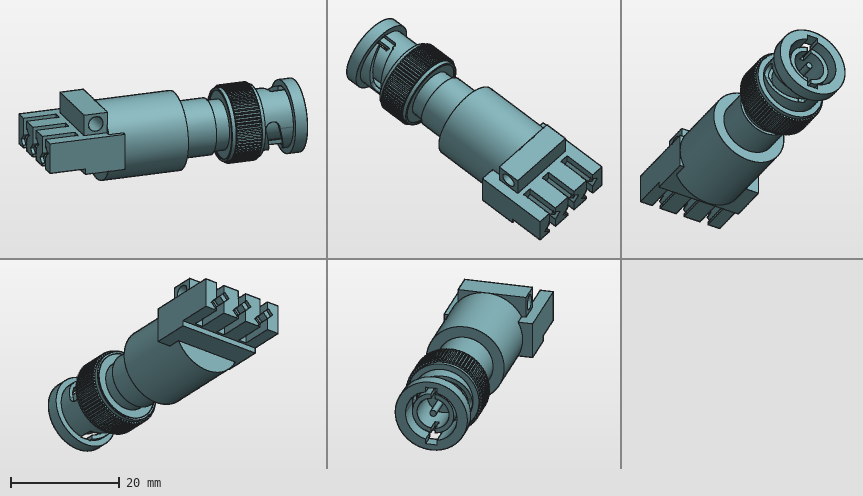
import cadquery as cq
import math

LENGTH = 50.85

BARREL_R = 7.5
COLLAR_R = 5.35
NECK_R = 4.8
BARREL_FRONT = 11.85
BARREL_BACK = 27.2
COLLAR_BACK = 33.5

TERMINAL_PITCH = 5.1
TERMINAL_COUNT = 3
BLOCK_WIDTH = 16.9
BLOCK_X = BARREL_R - BLOCK_WIDTH / 2
BLOCK_LEFT_BACK = 14.45
BLOCK_RIGHT_BACK = 14.75
BLOCK_HALF_HEIGHT = 3.45
STEP_Y = 6.9
STEP_HEIGHT = 1.05

BAR_WIDTH = 13.0
BAR_FRONT = 7.35
BAR_BACK = 12.0
BAR_HOLE_R = 1.4

WIRE_SLOT_WIDTH = 1.7
WIRE_SLOT_DEPTH = 6.4

CONTACT_WIDTH = 4.4
CONTACT_THICKNESS = 1.35
CONTACT_TILT = 45.0
CONTACT_FRONT = 0.6
MOUTH_HALF_WIDTH = 1.15
THROAT_HALF_WIDTH = 1.0
THROAT_END = 2.15
SLIT_HALF_WIDTH = 0.075
SLIT_END = 4.6

NUT_BACK = 36.05
KNURL_START = 36.8
KNURL_END = 41.8
NUT_FRONT = 42.55
FLANGE_START = 48.45
FLANGE_R = 6.9
NUT_RIM_R = 6.85
KNURL_R = 7.3
KNURL_ROOT_R = 6.95
KNURL_RIDGES = 72
KNURL_CREST_SHARE = 0.5
NUT_RECESS_R = 6.45
NUT_RECESS_DEPTH = 0.2

SLEEVE_R = 5.75
SLEEVE_BORE_R = 4.95
TUBE_R = 3.95
TUBE_BORE_R = 3.05
TUBE_FRONT = 49.6
PIN_R = 0.6
TUBE_SLIT_WIDTH = 0.75
TUBE_SLIT_START = 46.8

RAMP_WIDTH = 2.8
RAMP_START = 44.45
RAMP_RISE = 2.4
ENTRY_WIDTH = 2.15
ENTRY_START = 45.6
ENTRY_CORNER_R = 0.4


def cylinder(radius, start, end):
    """A cylinder on the Y axis between two stations."""
    return cq.Workplane("XZ", origin=(0, start, 0)).circle(radius).extrude(start - end)


def box(x_range, y_range, z_range):
    """A box given by its limits along each axis."""
    lows, highs = zip(x_range, y_range, z_range)
    sizes = [high - low for low, high in zip(lows, highs)]
    return cq.Workplane("XY").box(*sizes, centered=False).translate(lows)


def centered_range(center, width):
    return (center - width / 2, center + width / 2)


def make_barrel():
    barrel = cylinder(BARREL_R, BARREL_FRONT, BARREL_BACK)
    collar = cylinder(COLLAR_R, BARREL_BACK, COLLAR_BACK)
    neck = cylinder(NECK_R, COLLAR_BACK, NUT_BACK + NUT_RECESS_DEPTH)
    return barrel.union(collar).union(neck)


def make_block():
    """The terminal block, with a stepped underside and unequal side lugs beside the barrel."""
    left, right = centered_range(BLOCK_X, BLOCK_WIDTH)
    heights = (-BLOCK_HALF_HEIGHT, BLOCK_HALF_HEIGHT)
    left_part = box((left, 0), (0, BLOCK_LEFT_BACK), heights)
    right_part = box((0, right), (0, BLOCK_RIGHT_BACK), heights)
    step = box((left, right), (0, STEP_Y), (-BLOCK_HALF_HEIGHT, STEP_HEIGHT - BLOCK_HALF_HEIGHT))
    return left_part.union(right_part).cut(step)


def make_bar():
    """The cross bar on top of the block, with a hole along X."""
    x_range = centered_range(BLOCK_X, BAR_WIDTH)
    bar = box(x_range, (BAR_FRONT, BAR_BACK), (BLOCK_HALF_HEIGHT, BARREL_R))
    return bar.faces("<X").workplane(centerOption="CenterOfBoundBox").hole(2 * BAR_HOLE_R)


def tilted(shape, x):
    """Tilt a shape about the Y axis and move it to a terminal position."""
    return shape.rotate((0, 0, 0), (0, 1, 0), -CONTACT_TILT).translate((x, 0, 0))


def make_contact():
    """A flat contact whose front is forked: a tapered mouth, a 45 degree V and a thin slit."""
    v_end = THROAT_END + THROAT_HALF_WIDTH - SLIT_HALF_WIDTH
    half_fork = [
        (CONTACT_WIDTH / 2, CONTACT_FRONT),
        (MOUTH_HALF_WIDTH, CONTACT_FRONT),
        (THROAT_HALF_WIDTH, THROAT_END),
        (SLIT_HALF_WIDTH, v_end),
        (SLIT_HALF_WIDTH, SLIT_END),
    ]
    other_half = [(-x, y) for x, y in reversed(half_fork)]
    back = [(-CONTACT_WIDTH / 2, WIRE_SLOT_DEPTH), (CONTACT_WIDTH / 2, WIRE_SLOT_DEPTH)]
    outline = cq.Workplane("XY").polyline(half_fork + other_half + back).close()
    return outline.extrude(CONTACT_THICKNESS / 2, both=True)


def make_housing():
    housing = make_barrel().union(make_block()).union(make_bar())
    slot_heights = (-BLOCK_HALF_HEIGHT, BLOCK_HALF_HEIGHT)
    pocket_heights = centered_range(0, CONTACT_THICKNESS)
    pocket = box(centered_range(0, CONTACT_WIDTH), (0, WIRE_SLOT_DEPTH), pocket_heights)
    contact = make_contact()
    for index in range(TERMINAL_COUNT):
        x = BLOCK_X + (index - (TERMINAL_COUNT - 1) / 2) * TERMINAL_PITCH
        wire_slot = box(centered_range(x, WIRE_SLOT_WIDTH), (0, WIRE_SLOT_DEPTH), slot_heights)
        housing = housing.cut(wire_slot).cut(tilted(pocket, x)).union(tilted(contact, x))
    return housing


def make_knurl():
    """A ring of straight flat-topped ridges with V grooves between them."""
    points = []
    for ridge in range(KNURL_RIDGES):
        crest_end = ridge + KNURL_CREST_SHARE
        groove_root = (crest_end + ridge + 1) / 2
        for radius, step in ((KNURL_R, ridge), (KNURL_R, crest_end), (KNURL_ROOT_R, groove_root)):
            angle = 2 * math.pi * step / KNURL_RIDGES
            points.append((radius * math.cos(angle), radius * math.sin(angle)))
    plane = cq.Workplane("XZ", origin=(0, KNURL_START, 0))
    return plane.polyline(points).close().extrude(KNURL_START - KNURL_END)


def make_bayonet_slot():
    """Cutter for one bayonet slot: straight entry on top, quarter-turn ramp, round end at -X."""
    wall_middle = (SLEEVE_R + SLEEVE_BORE_R) / 2
    cut_depth = 2 * (SLEEVE_R - SLEEVE_BORE_R)
    helix = cq.Wire.makeHelix(pitch=4 * RAMP_RISE, height=RAMP_RISE, radius=wall_middle)
    profile = cq.Workplane("XZ").center(wall_middle, 0).rect(cut_depth, RAMP_WIDTH)
    ramp = profile.sweep(cq.Workplane(helix), isFrenet=True)
    ramp = ramp.rotate((0, 0, 0), (1, 0, 0), -90).rotate((0, 0, 0), (0, 1, 0), 180)
    ramp = ramp.translate((0, RAMP_START, 0))

    round_end = cq.Workplane("YZ", origin=(-wall_middle, RAMP_START, 0)).circle(RAMP_WIDTH / 2)
    round_end = round_end.extrude(cut_depth / 2, both=True)

    entry = box(centered_range(0, ENTRY_WIDTH), (ENTRY_START, LENGTH), (TUBE_R, SLEEVE_R))
    entry = entry.edges("|Z and <Y").fillet(ENTRY_CORNER_R)
    return ramp.union(round_end).union(entry)


def make_connector():
    connector = cylinder(NUT_RIM_R, NUT_BACK, NUT_FRONT).union(make_knurl())
    connector = connector.union(cylinder(SLEEVE_R, NUT_FRONT, FLANGE_START))
    connector = connector.union(cylinder(FLANGE_R, FLANGE_START, LENGTH))
    connector = connector.cut(cylinder(NUT_RECESS_R, NUT_BACK, NUT_BACK + NUT_RECESS_DEPTH))
    connector = connector.cut(cylinder(SLEEVE_BORE_R, NUT_FRONT, LENGTH))

    slot = make_bayonet_slot()
    connector = connector.cut(slot).cut(slot.rotate((0, 0, 0), (0, 1, 0), 180))

    tube = cylinder(TUBE_R, NUT_FRONT, TUBE_FRONT).cut(cylinder(TUBE_BORE_R, NUT_FRONT, TUBE_FRONT))
    slit_range = centered_range(0, TUBE_SLIT_WIDTH)
    tube_slit = box(slit_range, (TUBE_SLIT_START, TUBE_FRONT), centered_range(0, 2 * TUBE_R))
    pin = cylinder(PIN_R, NUT_FRONT, TUBE_FRONT)
    return connector.union(tube.cut(tube_slit)).union(pin)


housing = make_housing()
connector = make_connector()
result = cq.Compound.makeCompound([housing.val(), connector.val()])